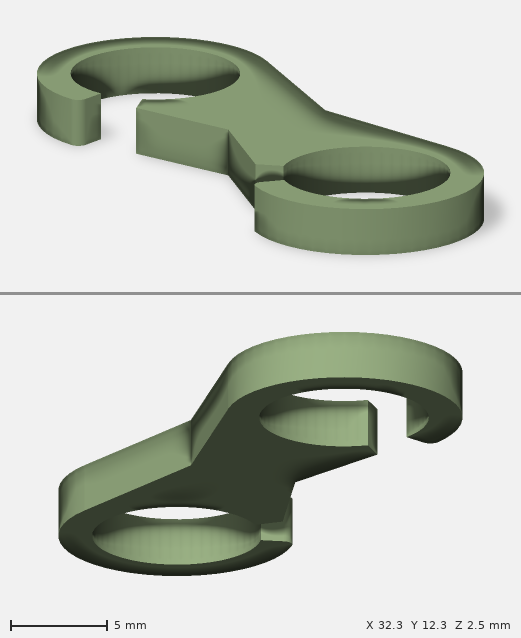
import cadquery as cq
import math

THICKNESS = 2.5
RING_SPACING = 20.0
BORE_RADIUS = 4.4
WALL = 1.75
WAIST_TOP = 4.0
WAIST_BOTTOM = 2.0
JAW_ANGLE = -42.0
JAW_FACE_ANGLE = -45.0
JAW_FACE_LENGTH = 1.5
HOOK_ANGLE = -73.0
HOOK_TIP_FILLET = 0.5

OUTER_RADIUS = BORE_RADIUS + WALL
CENTER_X = -RING_SPACING / 2


def polar(radius, degrees, origin=(CENTER_X, 0.0)):
    """Point at a radius and angle about an origin, by default the left ring centre."""
    angle = math.radians(degrees)
    return (origin[0] + radius * math.cos(angle), origin[1] + radius * math.sin(angle))


def top_tangent_angle():
    """Angle on the left ring where the line from the top of the waist touches it."""
    waist_distance = math.hypot(CENTER_X, WAIST_TOP)
    waist_direction = math.degrees(math.atan2(WAIST_TOP, -CENTER_X))
    return waist_direction + math.degrees(math.acos(OUTER_RADIUS / waist_distance))


def left_clip():
    """Left half of the part: an open ring joined to half of the waist."""
    tangent_angle = top_tangent_angle()
    outer_middle_angle = (tangent_angle + HOOK_ANGLE + 360) / 2
    bore_middle_angle = (HOOK_ANGLE + JAW_ANGLE + 360) / 2
    jaw_inner = polar(BORE_RADIUS, JAW_ANGLE)
    jaw_outer = polar(JAW_FACE_LENGTH, JAW_FACE_ANGLE, jaw_inner)
    hook_outer = polar(OUTER_RADIUS, HOOK_ANGLE)

    clip = (
        cq.Workplane("XY")
        .moveTo(0, WAIST_TOP)
        .lineTo(*polar(OUTER_RADIUS, tangent_angle))
        .threePointArc(polar(OUTER_RADIUS, outer_middle_angle), hook_outer)
        .lineTo(*polar(BORE_RADIUS, HOOK_ANGLE))
        .threePointArc(polar(BORE_RADIUS, bore_middle_angle), jaw_inner)
        .lineTo(*jaw_outer)
        .lineTo(0, -WAIST_BOTTOM)
        .close()
        .extrude(THICKNESS)
    )
    hook_edge = cq.selectors.NearestToPointSelector((*hook_outer, THICKNESS / 2))
    return clip.edges("|Z").edges(hook_edge).fillet(HOOK_TIP_FILLET)


left_half = left_clip()
result = left_half.union(left_half.mirror("YZ"))